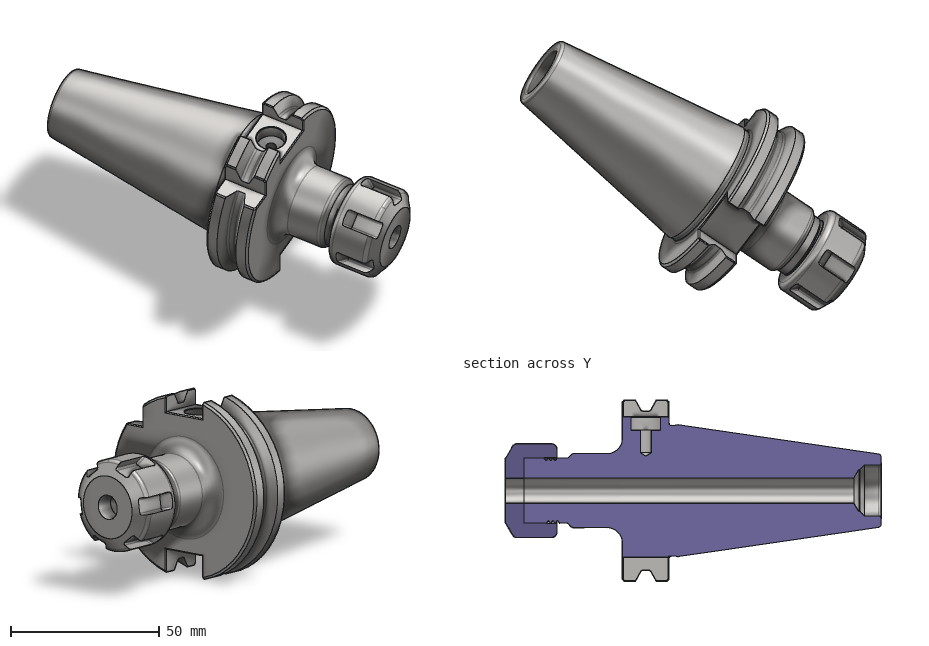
import cadquery as cq
import math


cutter_clearance = 1.3

taper_end_x = 68.6
taper_large_radius = 22.3
taper_ratio = 7 / 48
taper_small_radius = taper_large_radius - taper_end_x * taper_ratio
taper_nose_fillet = 1.1
relief_start_x = 69.9
relief_radius = 22.1
relief_fillet = 0.8

flange_start_x = 71.5
flange_end_x = 87.4
flange_diameter = 63.5
flange_radius = flange_diameter / 2
flange_chamfer = 0.8
groove_x = 79.4
groove_width = 7.2
groove_root_radius = 28.0
groove_half_angle = 30
groove_root_fillet = 0.9

drive_slot_width = 16.1
upper_slot_height = 25.0
lower_slot_height = 22.5
opening_chamfer = 0.4
notch_offset = 18.5
chip_hole_radius = 5.0
chip_hole_depth = 4.6
chip_hole_chamfer = 0.3
chip_screw_radius = 1.8
chip_screw_depth = 7.6
drill_tip_half_angle = 59

neck_radius = 12.5
neck_root_fillet = 5.1
neck_corner_x = 104.3
neck_corner_fillet = 1.3
spigot_radius = 11.0
thread_pitch = 1.5
thread_depth = 0.9
thread_start_x = 108.6
thread_start_angle = 210
thread_turns = 3
thread_width = 0.98 * thread_pitch

bore_mouth_fillet = 0.9
bore_pilot_radius = 8.5
bore_pilot_depth = 5.7
bore_core_radius = 7.0
bore_core_depth = 7.6
through_radius = 4.2

nut_start_x = 109.4
nut_end_x = 126.9
nut_radius = 15.9
nut_rear_fillet = 1.9
nut_front_radius = 10.8
nut_front_angle = 60
nut_front_fillet = 1.8
nut_recess_end_x = 120.5
nut_rotation = 8

wrench_slot_count = 6
first_slot_angle = 60
wrench_slot_width = 5.8
wrench_slot_floor = 13.0
wrench_floor_fillet = 0.6
short_slot_floor_x = 115.7
long_slot_floor_x = 114.6
wrench_ramp_angle = 45


def revolve_about_x(profile):
    """Turn a closed XZ outline, with Z as the radius, about the X axis."""
    return profile.close().revolve(360, (0, 0, 0), (1, 0, 0))


def block(x_range, y_range, z_range):
    """Box spanning the given ranges."""
    size = [high - low for low, high in (x_range, y_range, z_range)]
    corner = (x_range[0], y_range[0], z_range[0])
    return cq.Workplane("XY").box(*size, centered=False).translate(corner)


def rim(solid, x, radius):
    """Circular edges of one radius, centred on the axis at one X."""
    margin = 0.01
    edges = [
        edge for edge in solid.edges("%CIRCLE").vals()
        if abs(edge.Center().x - x) < margin and abs(edge.radius() - radius) < margin
    ]
    return solid.newObject(edges)


def make_taper():
    taper = revolve_about_x(
        cq.Workplane("XZ")
        .moveTo(0, 0)
        .lineTo(0, taper_small_radius)
        .lineTo(taper_end_x, taper_large_radius)
        .lineTo(relief_start_x, relief_radius)
        .lineTo(flange_start_x - relief_fillet, relief_radius)
        .radiusArc((flange_start_x, relief_radius + relief_fillet), -relief_fillet)
        .lineTo(flange_start_x, 0)
    )
    return rim(taper, 0, taper_small_radius).fillet(taper_nose_fillet)


def make_flange_blank():
    blank = revolve_about_x(
        cq.Workplane("XZ")
        .moveTo(flange_start_x, 0)
        .lineTo(flange_start_x, flange_radius)
        .lineTo(flange_end_x, flange_radius)
        .lineTo(flange_end_x, 0)
    )
    for face_x in (flange_start_x, flange_end_x):
        blank = rim(blank, face_x, flange_radius).chamfer(flange_chamfer)
    return blank


def cut_flange_openings(flange):
    across = (flange_start_x, flange_end_x)
    slot_width = (-drive_slot_width / 2, drive_slot_width / 2)
    outside = flange_radius + cutter_clearance
    flange = flange.cut(block(across, slot_width, (upper_slot_height, outside)))
    flange = flange.cut(block(across, slot_width, (-outside, -lower_slot_height)))
    flange = flange.cut(block(across, (-outside, -notch_offset), (notch_offset, outside)))
    return break_opening_edges(flange)


def break_opening_edges(flange):
    """Chamfer the outer edges of the slots and the notch, but not their inner corners."""
    inner_corner_limit = flange_radius - 2 * flange_chamfer
    mostly_along = 0.9
    outer_edges = []
    for edge in flange.faces("|Y or |Z").edges().vals():
        middle = edge.Center()
        along_axis = edge.geomType() == "LINE" and abs(edge.tangentAt(0).x) > mostly_along
        if not along_axis or math.hypot(middle.y, middle.z) > inner_corner_limit:
            outer_edges.append(edge)
    return flange.newObject(outer_edges).chamfer(opening_chamfer)


def make_groove_ring():
    """Ring that fills the V groove, with rounded root corners."""
    groove_slope = (flange_radius - groove_root_radius) * math.tan(math.radians(groove_half_angle))
    root_half_width = groove_width / 2 - groove_slope
    ring = revolve_about_x(
        cq.Workplane("XZ")
        .moveTo(groove_x - groove_width / 2, flange_radius)
        .lineTo(groove_x - root_half_width, groove_root_radius)
        .lineTo(groove_x + root_half_width, groove_root_radius)
        .lineTo(groove_x + groove_width / 2, flange_radius)
    )
    for side in (-1, 1):
        root = rim(ring, groove_x + side * root_half_width, groove_root_radius)
        ring = root.fillet(groove_root_fillet)
    return ring


def make_flange():
    return cut_flange_openings(make_flange_blank()).cut(make_groove_ring())


def drill_tip_length(large_radius, small_radius=0):
    """Axial length of the cone that a drill tip leaves between two radii."""
    return (large_radius - small_radius) / math.tan(math.radians(drill_tip_half_angle))


def cut_chip_hole(holder):
    """Radial chip hole in the upper slot floor, with a blind screw hole below it."""
    mouth_z = upper_slot_height
    floor_z = mouth_z - chip_hole_depth
    screw_end_z = floor_z - chip_screw_depth
    hole = (
        cq.Workplane("XZ")
        .moveTo(0, mouth_z)
        .lineTo(chip_hole_radius + chip_hole_chamfer, mouth_z)
        .lineTo(chip_hole_radius, mouth_z - chip_hole_chamfer)
        .lineTo(chip_hole_radius, floor_z)
        .lineTo(chip_screw_radius, floor_z)
        .lineTo(chip_screw_radius, screw_end_z)
        .lineTo(0, screw_end_z - drill_tip_length(chip_screw_radius))
        .close()
        .revolve(360, (0, 0, 0), (0, 1, 0))
    )
    return holder.cut(hole.translate((groove_x, 0, 0)))


def make_neck():
    neck_root_x = flange_end_x + neck_root_fillet
    neck = revolve_about_x(
        cq.Workplane("XZ")
        .moveTo(flange_end_x, 0)
        .lineTo(flange_end_x, neck_radius + neck_root_fillet)
        .radiusArc((neck_root_x, neck_radius), -neck_root_fillet)
        .lineTo(neck_corner_x, neck_radius)
        .lineTo(neck_corner_x + neck_radius - spigot_radius, spigot_radius)
        .lineTo(nut_recess_end_x, spigot_radius)
        .lineTo(nut_recess_end_x, 0)
    )
    return rim(neck, neck_corner_x, neck_radius).fillet(neck_corner_fillet)


def make_thread_groove():
    """Right-hand V groove that starts on the bare spigot and runs on into the nut."""
    overshoot = 0.06
    half_width = thread_width / 2
    helix = cq.Wire.makeHelix(thread_pitch, thread_pitch * thread_turns, spigot_radius)
    groove = (
        cq.Workplane("XZ")
        .moveTo(spigot_radius + overshoot, -half_width)
        .lineTo(spigot_radius - thread_depth, 0)
        .lineTo(spigot_radius + overshoot, half_width)
        .close()
        .sweep(cq.Workplane(helix), isFrenet=True)
    )
    groove = groove.rotate((0, 0, 0), (0, 1, 0), 90)
    groove = groove.rotate((0, 0, 0), (1, 0, 0), thread_start_angle)
    return groove.translate((thread_start_x, 0, 0))


def make_bore():
    bore_step_end_x = bore_pilot_depth + bore_pilot_radius - bore_core_radius
    cone_length = drill_tip_length(bore_core_radius, through_radius)
    return revolve_about_x(
        cq.Workplane("XZ")
        .moveTo(0, 0)
        .lineTo(0, bore_pilot_radius + bore_mouth_fillet)
        .radiusArc((bore_mouth_fillet, bore_pilot_radius), -bore_mouth_fillet)
        .lineTo(bore_pilot_depth, bore_pilot_radius)
        .lineTo(bore_step_end_x, bore_core_radius)
        .lineTo(bore_core_depth, bore_core_radius)
        .lineTo(bore_core_depth + cone_length, through_radius)
        .lineTo(nut_end_x, through_radius)
        .lineTo(nut_end_x, 0)
    )


def make_holder():
    holder = make_taper().union(make_flange()).union(make_neck())
    holder = cut_chip_hole(holder)
    holder = holder.cut(make_thread_groove())
    return holder.cut(make_bore())


def make_wrench_slot(floor_x):
    """Cutter for one wrench slot on the -Y side, with a ramp at its rear end."""
    outside = nut_radius + cutter_clearance
    ramp_length = (outside - wrench_slot_floor) / math.tan(math.radians(wrench_ramp_angle))
    cutter = (
        cq.Workplane("XY", origin=(0, 0, -wrench_slot_width / 2))
        .moveTo(floor_x, -wrench_slot_floor)
        .lineTo(floor_x - ramp_length, -outside)
        .lineTo(nut_end_x, -outside)
        .lineTo(nut_end_x, -wrench_slot_floor)
        .close()
        .extrude(wrench_slot_width)
    )
    floor_and_ramp = cutter.faces(">Y or (<X and (not |Y))")
    return floor_and_ramp.edges("not |Z").fillet(wrench_floor_fillet)


def make_nut():
    cone_length = (nut_radius - nut_front_radius) / math.tan(math.radians(nut_front_angle))
    cone_x = nut_end_x - cone_length
    nut = revolve_about_x(
        cq.Workplane("XZ")
        .moveTo(nut_start_x, spigot_radius)
        .lineTo(nut_start_x, nut_radius)
        .lineTo(cone_x, nut_radius)
        .lineTo(nut_end_x, nut_front_radius)
        .lineTo(nut_end_x, through_radius)
        .lineTo(nut_recess_end_x, through_radius)
        .lineTo(nut_recess_end_x, spigot_radius)
    )
    nut = rim(nut, nut_start_x, nut_radius).fillet(nut_rear_fillet)
    nut = rim(nut, cone_x, nut_radius).fillet(nut_front_fillet)
    for index in range(wrench_slot_count):
        floor_x = short_slot_floor_x if index < wrench_slot_count / 2 else long_slot_floor_x
        angle = first_slot_angle - index * 360 / wrench_slot_count
        nut = nut.cut(make_wrench_slot(floor_x).rotate((0, 0, 0), (1, 0, 0), angle))
    return nut.rotate((0, 0, 0), (1, 0, 0), nut_rotation)


holder = make_holder()
nut = make_nut()
result = cq.Compound.makeCompound([holder.val(), nut.val()])